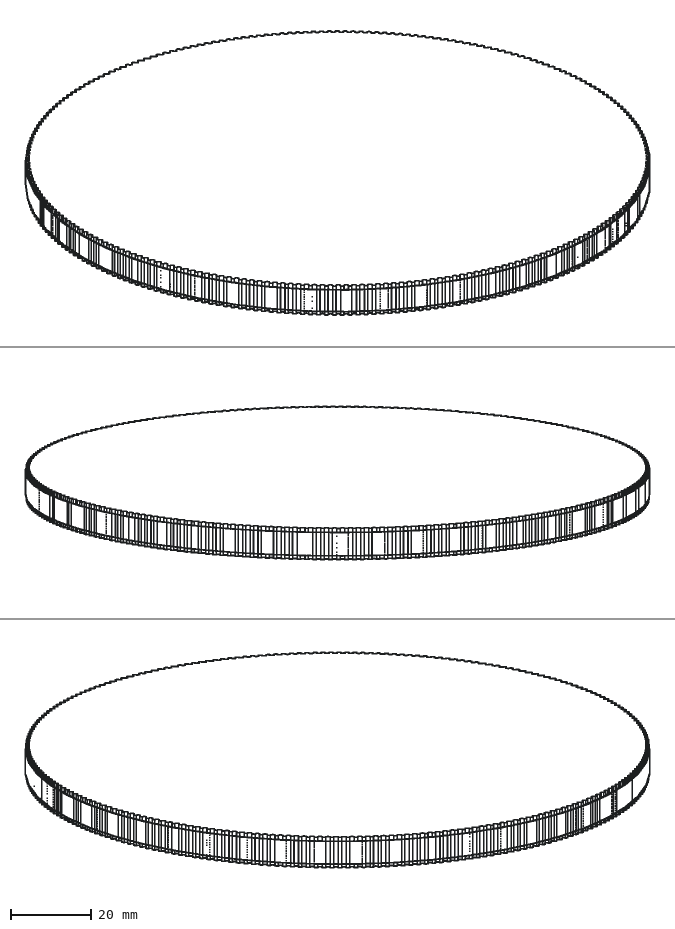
import cadquery as cq
import math

outer_diameter = 156.0
thickness = 8.0
groove_count = 245
groove_half_width = 0.56
shoulder_inset = 0.37
tip_inset = 0.23
groove_bottom_inset = 1.01
rim_height = 1.0
band_thickness = 0.36

outer_radius = outer_diameter / 2
shoulder_radius = outer_radius - shoulder_inset
tip_radius = outer_radius - tip_inset
groove_bottom_radius = outer_radius - groove_bottom_inset
band_height = thickness - 2 * rim_height
pitch_angle = 2 * math.pi / groove_count
shoulder_angle = math.asin(groove_half_width / shoulder_radius)
first_groove_angle = -math.pi / 2


def polar_point(radius, angle):
    """Point in the XY plane at a radius and an angle about the disc axis."""
    return (radius * math.cos(angle), radius * math.sin(angle))


def knurled_disc():
    """Disc with round-bottomed grooves and slightly crowned ridges along its edge."""
    start_angle = first_groove_angle - shoulder_angle
    outline = cq.Workplane("XY").moveTo(*polar_point(shoulder_radius, start_angle))
    for index in range(groove_count):
        groove_angle = first_groove_angle + index * pitch_angle
        groove_bottom = polar_point(groove_bottom_radius, groove_angle)
        groove_end = polar_point(shoulder_radius, groove_angle + shoulder_angle)
        outline = outline.threePointArc(groove_bottom, groove_end)
        if index < groove_count - 1:
            next_groove_start = groove_angle + pitch_angle - shoulder_angle
            ridge_end = polar_point(shoulder_radius, next_groove_start)
        else:
            ridge_end = polar_point(shoulder_radius, start_angle)
        ridge_tip = polar_point(tip_radius, groove_angle + pitch_angle / 2)
        outline = outline.threePointArc(ridge_tip, ridge_end)
    return outline.close().extrude(thickness)


def edge_band():
    """Thin ring around the ridges, set back from both faces by the rim height."""
    return (
        cq.Workplane("XY")
        .workplane(offset=rim_height)
        .circle(outer_radius)
        .circle(outer_radius - band_thickness)
        .extrude(band_height)
    )


result = knurled_disc().union(edge_band())